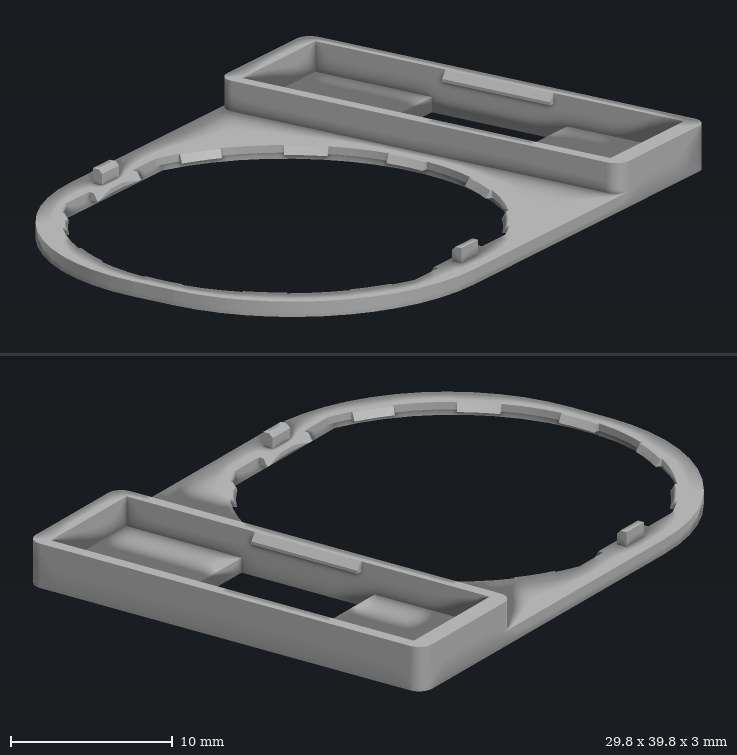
import cadquery as cq
import math

WIDTH = 29.8
LENGTH = 39.8
HEIGHT = 3.0
PLATE_THICKNESS = 1.0
FRONT_EDGE = -WIDTH / 2
BACK_EDGE = FRONT_EDGE + LENGTH
FRONT_FLAT = 3.0
FRONT_RADIUS = (WIDTH - FRONT_FLAT) / 2

FRAME_DEPTH = 9.85
FRAME_CORNER_RADIUS = 1.0
FRAME_CENTRE_Y = BACK_EDGE - FRAME_DEPTH / 2
POCKET_WIDTH = 27.3
FRAME_WALL = 0.8
POCKET_DEPTH = FRAME_DEPTH - 2 * FRAME_WALL
WINDOW_WIDTH = 10.0

LUG_LENGTH = 8.0
LUG_REACH = 0.4
LUG_SLOPE_HEIGHT = 0.5
LUG_TIP_HEIGHT = 0.2

OPENING_WIDTH = 25.9
LOWER_RADIUS = 14.2
UPPER_RADIUS = 13.9
STEP_HEIGHT = 0.5
UPPER_THICKNESS = PLATE_THICKNESS - STEP_HEIGHT

SLOPE_FROM_VERTICAL = 30.0
SLOPE_REACH = UPPER_THICKNESS * math.tan(math.radians(SLOPE_FROM_VERTICAL))
TOOTH_TOP_RADIUS = 13.75
TOOTH_ANGLE = 11.4
TOOTH_PITCH = 28.0
TEETH_PER_GROUP = 5
PAD_LENGTH = 4.9
PAD_TOP_X = 12.6
PAD_BORE_RADIUS = 12.5

PEG_OUTER_X = POCKET_WIDTH / 2
PEG_WIDTH = 0.7
PEG_LENGTH = 1.9
PEG_HEIGHT = 1.0
PEG_CHAMFER = 0.25

ROOT_OVERLAP = 0.3


def block(x_size, y_size, z_size, centre):
    """Box standing on the plane through its centre point."""
    return cq.Workplane("XY").box(x_size, y_size, z_size, centered=(True, True, False)).translate(centre)


def make_plate():
    arc_centre_x = FRONT_FLAT / 2
    arc_centre_y = FRONT_EDGE + FRONT_RADIUS
    diagonal = FRONT_RADIUS * math.sqrt(0.5)
    half_width = WIDTH / 2
    return (
        cq.Workplane("XY")
        .moveTo(-half_width, BACK_EDGE)
        .lineTo(-half_width, arc_centre_y)
        .threePointArc((-arc_centre_x - diagonal, arc_centre_y - diagonal), (-arc_centre_x, FRONT_EDGE))
        .lineTo(arc_centre_x, FRONT_EDGE)
        .threePointArc((arc_centre_x + diagonal, arc_centre_y - diagonal), (half_width, arc_centre_y))
        .lineTo(half_width, BACK_EDGE)
        .close()
        .extrude(PLATE_THICKNESS)
        .edges("|Z and >Y")
        .fillet(FRAME_CORNER_RADIUS)
    )


def make_frame():
    frame = block(WIDTH, FRAME_DEPTH, HEIGHT - PLATE_THICKNESS, (0, FRAME_CENTRE_Y, PLATE_THICKNESS))
    return frame.edges("|Z").fillet(FRAME_CORNER_RADIUS)


def make_pocket():
    pocket = block(POCKET_WIDTH, POCKET_DEPTH, HEIGHT, (0, FRAME_CENTRE_Y, PLATE_THICKNESS))
    window = block(WINDOW_WIDTH, POCKET_DEPTH, HEIGHT, (0, FRAME_CENTRE_Y, 0))
    return pocket.union(window)


def make_lug(side):
    """Snap lug on the back (side = 1) or front (side = -1) wall of the pocket."""
    wall = FRAME_CENTRE_Y + side * POCKET_DEPTH / 2
    root = wall + side * ROOT_OVERLAP
    tip = wall - side * LUG_REACH
    slope_end = HEIGHT - LUG_SLOPE_HEIGHT
    bottom = slope_end - LUG_TIP_HEIGHT
    profile = [(root, HEIGHT), (wall, HEIGHT), (tip, slope_end), (tip, bottom), (root, bottom)]
    return cq.Workplane("YZ").polyline(profile).close().extrude(LUG_LENGTH / 2, both=True)


def make_opening():
    lower = cq.Workplane("XY").circle(LOWER_RADIUS).extrude(STEP_HEIGHT)
    upper = cq.Workplane("XY").circle(UPPER_RADIUS).extrude(PLATE_THICKNESS)
    limits = block(OPENING_WIDTH, 2 * LOWER_RADIUS, PLATE_THICKNESS, (0, 0, 0))
    return lower.union(upper).intersect(limits)


def slope_profile(top, root):
    """Section, in the XZ plane, of a tooth or pad: sloped inner face on the left, root on the right."""
    section = [
        (top - SLOPE_REACH, STEP_HEIGHT),
        (root, STEP_HEIGHT),
        (root, PLATE_THICKNESS),
        (top, PLATE_THICKNESS),
    ]
    return cq.Workplane("XZ").polyline(section).close()


def make_tooth():
    """Tooth with a conical inner face, centred on the +X axis."""
    sector = slope_profile(TOOTH_TOP_RADIUS, UPPER_RADIUS + ROOT_OVERLAP).revolve(TOOTH_ANGLE, (0, 0), (0, 1))
    middle = sector.val().Center()
    middle_angle = math.degrees(math.atan2(middle.y, middle.x))
    return sector.rotate((0, 0, 0), (0, 0, 1), -middle_angle)


def make_side_pad():
    """Pad with a flat sloped face on the +X side, its tip hollowed by a round bore."""
    pad = slope_profile(PAD_TOP_X, OPENING_WIDTH / 2 + ROOT_OVERLAP).extrude(PAD_LENGTH / 2, both=True)
    return pad.cut(cq.Workplane("XY").circle(PAD_BORE_RADIUS).extrude(PLATE_THICKNESS))


def make_peg():
    """Peg on the +X side, bevelled along its inner top edge."""
    peg_height = PEG_HEIGHT + ROOT_OVERLAP
    base = (PEG_OUTER_X - PEG_WIDTH / 2, 0, PLATE_THICKNESS - ROOT_OVERLAP)
    peg = block(PEG_WIDTH, PEG_LENGTH, peg_height, base)
    return peg.faces(">Z").edges("<X").chamfer(PEG_CHAMFER)


result = make_plate().union(make_frame()).cut(make_pocket()).cut(make_opening())

for wall_side in (1, -1):
    result = result.union(make_lug(wall_side))

tooth = make_tooth()
for group_direction in (90, 270):
    for index in range(TEETH_PER_GROUP):
        offset = (index - (TEETH_PER_GROUP - 1) / 2) * TOOTH_PITCH
        result = result.union(tooth.rotate((0, 0, 0), (0, 0, 1), group_direction + offset))

side_features = make_side_pad().union(make_peg())
result = result.union(side_features).union(side_features.mirror("YZ"))